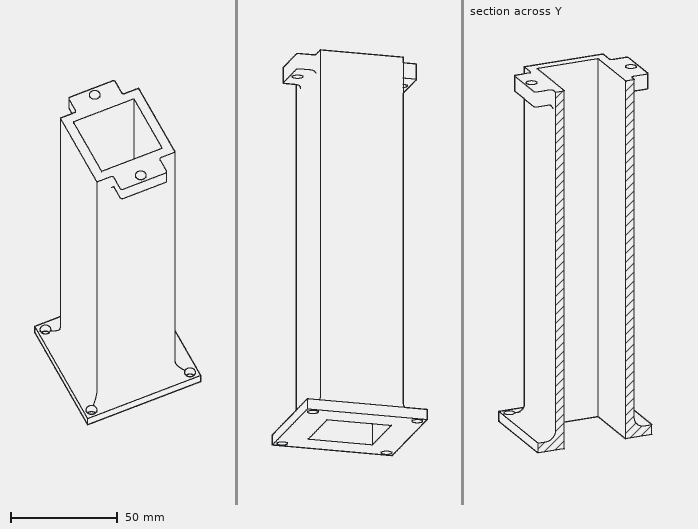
import cadquery as cq

height = 180.0
base_side = 58.5
base_thickness = 5.0

tube_side = 40.5
bore_side = 31.3
base_fillet = 5.0

tab_width = 24.0
tab_thickness = 7.5
tab_edge_fillet = 1.0
tab_root_fillet = 1.0
tab_underside_fillet = 2.0

hole_diameter = 5.0
hole_edge_distance = 3.8
hole_offset = base_side / 2 - hole_edge_distance

margin = 0.2


def make_column():
    """Square base plate and tube, joined by a concave fillet."""
    base = cq.Workplane("XY").box(base_side, base_side, base_thickness, centered=(True, True, False))
    tube = cq.Workplane("XY").box(tube_side, tube_side, height, centered=(True, True, False))
    half = tube_side / 2
    root = cq.selectors.BoxSelector(
        (-half - margin, -half - margin, base_thickness - margin),
        (half + margin, half + margin, base_thickness + margin),
    )
    return base.union(tube).edges(root).fillet(base_fillet)


def add_tabs(body):
    """Tabs flush with the top: a filleted plan shape limited by a filleted side profile."""
    half_tube = tube_side / 2
    half_base = base_side / 2
    half_tab = tab_width / 2
    roots = cq.selectors.BoxSelector(
        (-half_tube - margin, -half_tab - margin, 0),
        (half_tube + margin, half_tab + margin, height),
    )
    corners = cq.selectors.BoxSelector(
        (-half_base - margin, -half_tab - margin, 0),
        (half_base + margin, half_tab + margin, height),
    )
    tube = cq.Workplane("XY").rect(tube_side, tube_side).extrude(height)
    bar = cq.Workplane("XY").rect(base_side, tab_width).extrude(height)
    plan = tube.union(bar)
    plan = plan.edges("|Z").edges(corners - roots).fillet(tab_edge_fillet)
    plan = plan.edges("|Z").edges(roots).fillet(tab_root_fillet)

    tab_bottom = height - tab_thickness
    fillet_bottom = tab_bottom - tab_underside_fillet
    fillet_end = half_tube + tab_underside_fillet
    profile = (
        cq.Workplane("XZ")
        .moveTo(-half_base, height)
        .lineTo(-half_base, tab_bottom)
        .lineTo(-fillet_end, tab_bottom)
        .radiusArc((-half_tube, fillet_bottom), tab_underside_fillet)
        .lineTo(half_tube, fillet_bottom)
        .radiusArc((fillet_end, tab_bottom), tab_underside_fillet)
        .lineTo(half_base, tab_bottom)
        .lineTo(half_base, height)
        .close()
        .extrude(half_tube, both=True)
    )
    return body.union(plan.intersect(profile))


def drill_holes(body):
    """Four base corner holes and one through hole in each tab."""
    base_holes = (
        cq.Workplane("XY")
        .rect(2 * hole_offset, 2 * hole_offset, forConstruction=True)
        .vertices()
        .circle(hole_diameter / 2)
        .extrude(base_thickness + base_fillet)
    )
    tab_holes = (
        cq.Workplane("XY", origin=(0, 0, height - tab_thickness - tab_underside_fillet))
        .pushPoints([(-hole_offset, 0), (hole_offset, 0)])
        .circle(hole_diameter / 2)
        .extrude(tab_thickness + tab_underside_fillet)
    )
    return body.cut(base_holes).cut(tab_holes)


bore = cq.Workplane("XY").rect(bore_side, bore_side).extrude(height)
result = drill_holes(add_tabs(make_column())).cut(bore)